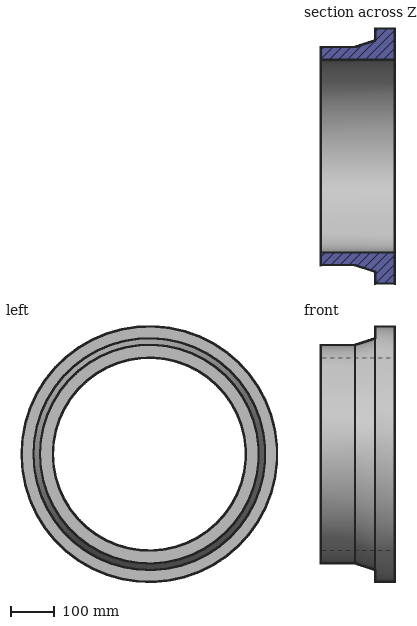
import cadquery as cq

flange_diameter = 585.0
cone_diameter = 530.0
neck_diameter = 500.0
bore_diameter = 440.5

total_length = 170.0
flange_thickness = 45.5
cone_length = 45.5

flange_start = total_length - flange_thickness
cone_start = flange_start - cone_length

half_section = (
    cq.Workplane("XY")
    .moveTo(0, bore_diameter / 2)
    .lineTo(0, neck_diameter / 2)
    .lineTo(cone_start, neck_diameter / 2)
    .lineTo(flange_start, cone_diameter / 2)
    .lineTo(flange_start, flange_diameter / 2)
    .lineTo(total_length, flange_diameter / 2)
    .lineTo(total_length, bore_diameter / 2)
    .close()
)

result = half_section.revolve(360, (0, 0, 0), (1, 0, 0))